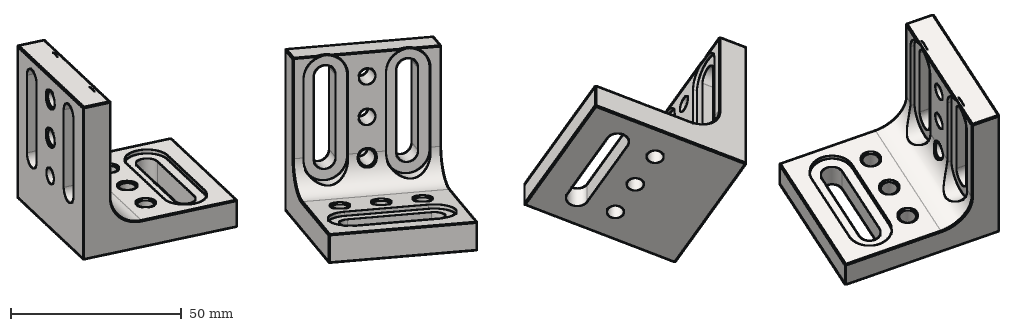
import cadquery as cq

width = 45.0
leg_length = 50.0
thickness = 8.9
inner_radius = 10.0
edge_chamfer = 0.3

slot_width = 6.6
slot_travel = 25.4
base_recess_width = 13.1
upright_recess_width = 13.5
recess_depth = 1.3
upright_slot_height = 30.5
base_slot_distance = 37.5

pitch = 12.5
hole_diameter = 5.0
countersink_diameter = 6.0
hole_countersink = (countersink_diameter - hole_diameter) / 2
fillet_countersink = 0.4
base_hole_distance = 2 * pitch
lowest_hole_height = 17.4
upright_hole_heights = [lowest_hole_height + i * pitch for i in range(3)]


def make_bracket():
    """L-shaped body with a rounded inner corner and broken edges."""
    profile = [
        (0, 0),
        (leg_length, 0),
        (leg_length, thickness),
        (thickness, thickness),
        (thickness, leg_length),
        (0, leg_length),
    ]
    body = cq.Workplane("YZ").polyline(profile).close().extrude(width / 2, both=True)
    inner_corner = cq.selectors.NearestToPointSelector((0, thickness, thickness))
    body = body.edges(inner_corner).fillet(inner_radius)
    return body.faces("<X or >X or <Y or >Y or <Z or >Z").edges().chamfer(edge_chamfer)


def upright_plane(y):
    """Plane across the upright leg, facing the inner side (+Y)."""
    return cq.Workplane(cq.Plane(origin=(0, y, 0), xDir=(-1, 0, 0), normal=(0, 1, 0)))


def base_plane(z):
    """Plane across the base leg, facing the inner side (+Z)."""
    return cq.Workplane("XY", origin=(0, 0, z))


def recessed_slots(plane, centers, recess_width, angle):
    """Through slots with a recess that starts below the inner face and clears the fillet."""
    slot = plane(0).pushPoints(centers).slot2D(slot_travel + slot_width, slot_width, angle).extrude(thickness)
    floor = thickness - recess_depth
    recess = (
        plane(floor)
        .pushPoints(centers)
        .slot2D(slot_travel + recess_width, recess_width, angle)
        .extrude(recess_depth + inner_radius)
    )
    return slot.union(recess)


def through_holes(plane, centers):
    """Cylinders through a leg, long enough to clear the inner fillet."""
    return plane(0).pushPoints(centers).circle(hole_diameter / 2).extrude(thickness + inner_radius)


def countersink_rim(body, point, size=hole_countersink):
    """Chamfer the hole rim whose center is nearest to the given point."""
    return body.edges(cq.selectors.NearestToPointSelector(point)).chamfer(size)


result = make_bracket()

upright_slots = [(-pitch, upright_slot_height), (pitch, upright_slot_height)]
result = result.cut(recessed_slots(upright_plane, upright_slots, upright_recess_width, 90))
result = result.cut(recessed_slots(base_plane, [(0, base_slot_distance)], base_recess_width, 0))

base_holes = [(i * pitch, base_hole_distance) for i in (-1, 0, 1)]
result = result.cut(through_holes(base_plane, base_holes))
for x, y in base_holes:
    result = countersink_rim(result, (x, y, thickness))

result = result.cut(through_holes(upright_plane, [(0, height) for height in upright_hole_heights]))
result = countersink_rim(result, (0, thickness, lowest_hole_height), fillet_countersink)
for height in upright_hole_heights[1:]:
    result = countersink_rim(result, (0, 0, height))